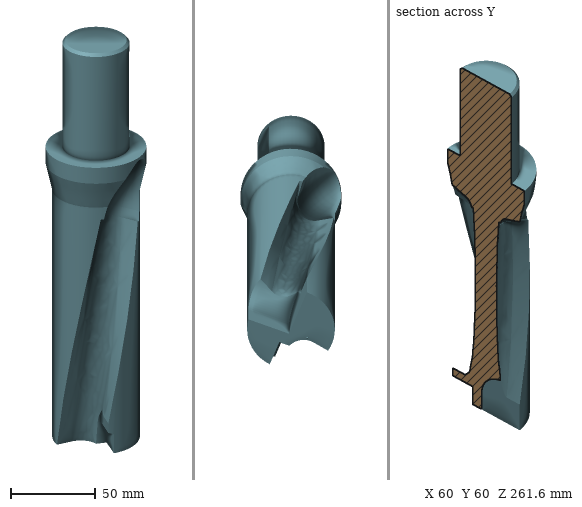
import cadquery as cq
import math


body_radius = 26.1
collar_radius = 30.0
shank_radius = 20.0
cone_bottom_z = 163.0
cone_top_z = 180.5
collar_top_z = 191.0
shank_length = 70.0
shank_top_z = collar_top_z + shank_length
shank_chamfer = 1.7

flat_depth = 2.4
flat_bottom_gap = 7.3
flat_top_gap = 6.5

flute_count = 2
flute_start_angle = 136.0
flute_half_angle = 35.0
flute_wall_start = 16.0
flute_outer_reach = 36.0
twist_rate = 0.445
flute_top_z = 155.0

runout_radius = 40.5
runout_sweep = 75.0
runout_tilt = 18.0
runout_lead = 6.0
runout_turn = 5.5

pocket_round_z = 14.0
pocket_round_radius = 17.0
inner_pocket_floor = -3.0
outer_pocket_floor = 10.3
seat_depth = 3.5
seat_top_z = 12.5
seat_ramp_top_z = 14.0

tip_x = 1.5
tip_y = -11.0
tip_height = 0.57
tip_radius = 0.6

clearance = 1.0

flute_round_radius = flute_wall_start * math.tan(math.radians(flute_half_angle))
flute_floor_radius = flute_wall_start / math.cos(math.radians(flute_half_angle)) - flute_round_radius


def make_blank():
    """Turned body, collar and shank."""
    return (
        cq.Workplane("YZ")
        .moveTo(0, 0)
        .lineTo(-body_radius, 0)
        .lineTo(-body_radius, cone_bottom_z)
        .lineTo(-collar_radius, cone_top_z)
        .lineTo(-collar_radius, collar_top_z)
        .lineTo(-shank_radius, collar_top_z)
        .lineTo(-shank_radius, shank_top_z - shank_chamfer)
        .lineTo(shank_chamfer - shank_radius, shank_top_z)
        .lineTo(0, shank_top_z)
        .close()
        .revolve(360, (0, 0, 0), (0, 1, 0))
    )


def make_shank_flat():
    """Block that cuts the clamping flat."""
    bottom_z = collar_top_z + flat_bottom_gap
    height = shank_length - flat_bottom_gap - flat_top_gap
    return (
        cq.Workplane("XY", origin=(0, shank_radius - flat_depth, bottom_z))
        .box(2 * shank_radius, 2 * flat_depth, height, centered=(True, False, False))
    )


def flute_section(z):
    """Flute cross-section opening toward +X, at height z."""
    half_angle = math.radians(flute_half_angle)

    def on_wall(distance, side):
        return (distance * math.cos(half_angle), side * distance * math.sin(half_angle))

    return (
        cq.Workplane("XY", origin=(0, 0, z))
        .moveTo(*on_wall(flute_outer_reach, -1))
        .lineTo(*on_wall(flute_wall_start, -1))
        .threePointArc((flute_floor_radius, 0), on_wall(flute_wall_start, 1))
        .lineTo(*on_wall(flute_outer_reach, 1))
        .close()
    )


def make_flute():
    """Twisted groove and its run-out, with the middle of the flute on +X at Z = 0."""
    length = flute_top_z + clearance
    groove = (
        flute_section(-clearance)
        .twistExtrude(length, twist_rate * length)
        .rotate((0, 0, 0), (0, 0, 1), -twist_rate * clearance)
    )
    pivot = flute_floor_radius + runout_radius
    runout = (
        flute_section(flute_top_z)
        .revolve(runout_sweep, (pivot, -1, 0), (pivot, 1, 0))
        .union(flute_section(flute_top_z).extrude(-runout_lead))
        .rotate((0, 0, flute_top_z), (1, 0, flute_top_z), -runout_tilt)
        .rotate((0, 0, 0), (0, 0, 1), twist_rate * flute_top_z + runout_turn)
    )
    return groove, runout


def make_pocket(floor):
    """Insert pocket on the +X, -Y side with its floor at the given distance from the axis."""
    center_x = floor + pocket_round_radius
    top_z = pocket_round_z + pocket_round_radius
    diagonal = pocket_round_radius * math.sqrt(0.5)
    outer_x = max(center_x, body_radius) + clearance
    return (
        cq.Workplane("XZ")
        .moveTo(floor, -clearance)
        .lineTo(floor, pocket_round_z)
        .threePointArc((center_x - diagonal, pocket_round_z + diagonal), (center_x, top_z))
        .lineTo(outer_x, top_z)
        .lineTo(outer_x, -clearance)
        .close()
        .extrude(body_radius + clearance)
    )


def make_outer_seat():
    """Recess for the outer insert, behind the wall of the outer pocket."""
    return (
        cq.Workplane("YZ", origin=(outer_pocket_floor, 0, 0))
        .moveTo(0, -clearance)
        .lineTo(seat_depth, -clearance)
        .lineTo(seat_depth, seat_top_z)
        .lineTo(0, seat_ramp_top_z)
        .close()
        .extrude(body_radius)
    )


def make_tip():
    """Small cone pointing down from the end face."""
    base_center = cq.Vector(tip_x, tip_y, 0)
    cone = cq.Solid.makeCone(tip_radius, 0, tip_height, pnt=base_center, dir=cq.Vector(0, 0, -1))
    return cq.Workplane("XY").add(cone)


result = make_blank().cut(make_shank_flat())

flute_cutters = make_flute()
for index in range(flute_count):
    angle = flute_start_angle + index * 360 / flute_count
    for cutter in flute_cutters:
        result = result.cut(cutter.rotate((0, 0, 0), (0, 0, 1), angle))

inner_pocket = make_pocket(inner_pocket_floor).rotate((0, 0, 0), (0, 0, 1), 180)
result = result.cut(inner_pocket)
result = result.cut(make_pocket(outer_pocket_floor))
result = result.cut(make_outer_seat())
result = result.union(make_tip())